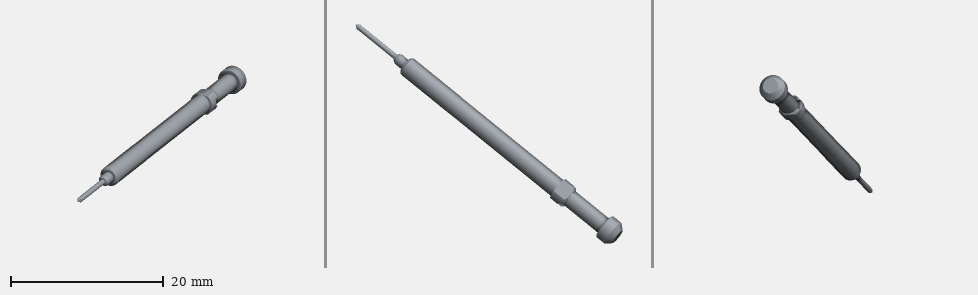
import cadquery as cq


total_length = 44.8
tip_height = 0.55
pin_start = 6.95
sleeve_chamfer_start = 7.35
sleeve_start = 8.55
barrel_chamfer_end = 8.85
band_start = 16.95
band_end = 17.35
collar_start = 34.65
collar_chamfer_start = 36.4
collar_end = 36.7
head_start = 42.55
head_chamfer_end = 42.7
crown_start = 44.05

point_width = 0.01

pin_radius = 0.35
sleeve_radius = 0.75
sleeve_nose_radius = 0.55
barrel_nose_radius = 1.08
barrel_radius = 1.35
barrel_rear_radius = 1.32
stem_radius = 1.185
collar_radius = 1.59
collar_rim_radius = 1.35
head_radius = 1.75
head_rim_radius = 1.6
crown_flat_radius = 1.05
crown_mid_radius = 1.41
crown_mid_position = 44.45

notch_width = 1.2
notch_floor = 35.85


def turned_body():
    """Revolve the stepped half profile, drawn as (radius, y), about the Y axis."""
    return (
        cq.Workplane("XY")
        .moveTo(0, tip_height)
        .lineTo(pin_radius, tip_height)
        .lineTo(pin_radius, pin_start)
        .lineTo(sleeve_nose_radius, pin_start)
        .lineTo(sleeve_radius, sleeve_chamfer_start)
        .lineTo(sleeve_radius, sleeve_start)
        .lineTo(barrel_nose_radius, sleeve_start)
        .lineTo(barrel_radius, barrel_chamfer_end)
        .lineTo(barrel_radius, band_start)
        .lineTo(barrel_rear_radius, band_end)
        .lineTo(barrel_rear_radius, collar_start)
        .lineTo(collar_radius, collar_start)
        .lineTo(collar_radius, collar_chamfer_start)
        .lineTo(collar_rim_radius, collar_end)
        .lineTo(stem_radius, collar_end)
        .lineTo(stem_radius, head_start)
        .lineTo(head_rim_radius, head_start)
        .lineTo(head_radius, head_chamfer_end)
        .lineTo(head_radius, crown_start)
        .threePointArc((crown_mid_radius, crown_mid_position), (crown_flat_radius, total_length))
        .lineTo(0, total_length)
        .close()
        .revolve(360, (0, 0, 0), (0, 1, 0))
    )


def contact_tip():
    """Pin end ground to a four-sided point, with its ridges on the diagonals."""
    base_side = 2 * pin_radius
    pyramid = (
        cq.Workplane("XZ", origin=(0, tip_height, 0))
        .rect(base_side, base_side)
        .workplane(offset=tip_height)
        .rect(point_width, point_width)
        .loft(ruled=True)
    )
    pin = cq.Workplane("XZ").circle(pin_radius).extrude(-tip_height)
    return pyramid.intersect(pin)


def collar_flats():
    """Blocks that trim the top and bottom of the collar level with the barrel."""
    length = collar_end - collar_start
    width = 2 * collar_radius
    blocks = cq.Workplane("XY")
    for side in (1, -1):
        center = (0, collar_start + length / 2, side * (barrel_rear_radius + width / 2))
        blocks = blocks.add(cq.Workplane("XY").box(width, length, width).translate(center))
    return blocks.combine()


def collar_notches():
    """Slots across both sides of the collar, sunk to the stem surface."""
    length = collar_end - notch_floor
    slot = cq.Workplane("XY").box(2 * head_radius, length, notch_width)
    slot = slot.translate((0, notch_floor + length / 2, 0))
    stem = cq.Workplane("XZ").circle(stem_radius).extrude(-total_length)
    return slot.cut(stem)


result = turned_body().union(contact_tip()).cut(collar_flats()).cut(collar_notches())